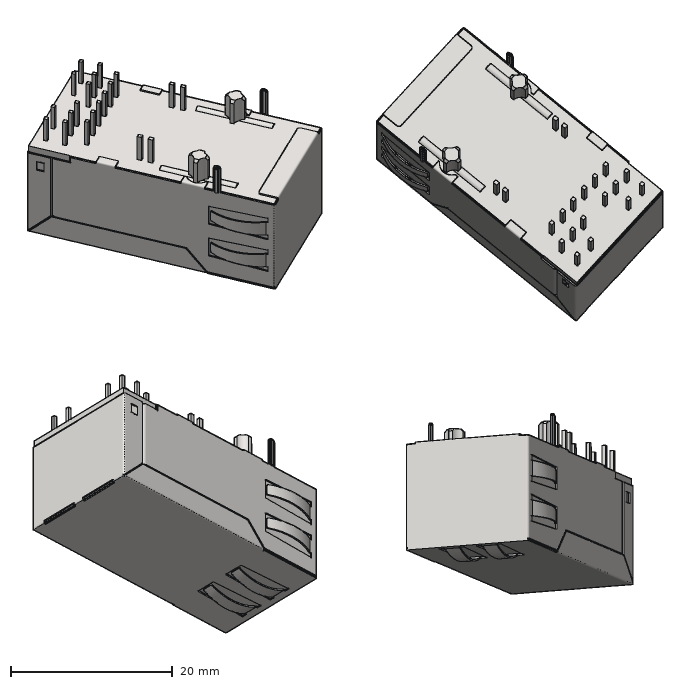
import cadquery as cq
import math


length = 32.8
width = 16.6
sheet = 0.2
bend_radius = 0.3
shield_top = 13.35
rim_chamfer = 0.1
insert_top = shield_top
half_width = width / 2
inner_half = half_width - sheet
fold_top = insert_top + sheet

lip_rear = 0.1
lip_relief = 0.06
lip_bottom = 12.43
lip_end = 5.55
notch_end = 5.75

finger_tip = 24.27
finger_root = 31.6
finger_corner = 0.15
finger_rise = 0.9
finger_tip_width = 1.46
finger_root_width = 2.0
window_start = 24.0
window_end = 31.85
window_start_width = 2.8
window_end_width = 3.36
window_corner = 0.12
finger_pitch = 5.0
side_finger_bottom = 4.3
side_finger_heights = [side_finger_bottom, side_finger_bottom + finger_pitch]
floor_finger_places = [-finger_pitch / 2, finger_pitch / 2]

seam_height = 3.27
seam_left = 3.2
seam_right = 21.05
seam_foot = 23.85
seam_gap = 0.1
miter_gap = 0.14
floor_inset = 0.1
flap_gap = 0.2
panel_edge = 3.33
panel_roll = 0.45

floor_notch_length = 5.4
floor_notch_place = 3.5
floor_notch_height = 0.42

latch_start = 1.25
latch_end = 2.25
latch_ramp_start = 1.5
latch_bottom = 10.05
latch_top = 11.35

fold_radius = 0.24
tab_depth = 1.15
rear_tab = (9.12, 11.67)
front_tab = (20.34, 23.5)
tab_notch_radius = 1.5
flap_start = 30.05
flap_width = 14.0
flap_corner = 0.4

fin_x = 25.1
fin_width = 0.95
fin_tip = 17.28
fin_corner = 0.42
rib_width = 0.6
rib_crest = 0.3
rib_bottom = 13.25
rib_top = 17.08
rib_top_chamfer = 0.15

post_x = 22.03
post_y = 6.35
post_radius = 1.3
post_arm = 0.52
post_waist = 0.82
post_top = 16.83
post_chamfer = 0.35
ridge_start = 16.95
ridge_end = 27.05
ridge_width = 1.0
ridge_height = 0.25

pin_size = 0.47
pin_top = 16.97
short_pin_top = 16.75
row_pitch = 2.52
first_row_x = 1.7
column_pitch = 2.04
led_pin_y = 3.56
pair_pin_width = 0.57
pair_pin_y = 5.6
pair_pin_places = [13.92, 15.39]


def block(x_span, y_span, z_span):
    """Box between two X, two Y and two Z values."""
    size = (x_span[1] - x_span[0], y_span[1] - y_span[0], z_span[1] - z_span[0])
    corner = (x_span[0], y_span[0], z_span[0])
    return cq.Workplane("XY").box(*size, centered=False).translate(corner)


def on_both_sides(shape):
    """The shape and its mirror image across the middle plane."""
    return shape.union(shape.mirror("XZ"))


def finger_window():
    outline = [
        (window_start, -window_start_width / 2),
        (window_end, -window_end_width / 2),
        (window_end, window_end_width / 2),
        (window_start, window_start_width / 2),
    ]
    plate = cq.Workplane("XY").polyline(outline).close().extrude(-sheet)
    return plate.edges("|Z and <X").fillet(window_corner)


def finger():
    middle = (finger_tip + finger_root) / 2
    bow = (
        cq.Workplane("XZ")
        .moveTo(finger_tip, 0)
        .threePointArc((middle, finger_rise), (finger_root, 0))
        .lineTo(window_end, 0)
        .lineTo(window_end, -sheet)
        .lineTo(finger_root, -sheet)
        .threePointArc((middle, finger_rise - sheet), (finger_tip, -sheet))
        .close()
        .extrude(finger_root_width, both=True)
    )
    plan = [
        (finger_tip, -finger_tip_width / 2),
        (window_end, -finger_root_width / 2),
        (window_end, finger_root_width / 2),
        (finger_tip, finger_tip_width / 2),
    ]
    taper = cq.Workplane("XY").polyline(plan).close().extrude(2 * finger_rise, both=True)
    taper = taper.edges("|Z and <X").fillet(finger_corner)
    return bow.intersect(taper)


def on_shield_faces(flat):
    """Copies of a flat feature on both side walls and on the floor."""
    places = []
    for height in side_finger_heights:
        for side in (-1, 1):
            upright = flat.rotate((0, 0, 0), (1, 0, 0), -90 * side)
            places.append(upright.translate((0, side * half_width, height)))
    for across in floor_finger_places:
        places.append(flat.rotate((0, 0, 0), (1, 0, 0), 180).translate((0, across, 0)))
    return places


def shield_box():
    outside = block((0, length), (-half_width, half_width), (0, shield_top))
    outside = outside.edges("|Z or (<Z and <X)").fillet(bend_radius)
    outside = outside.faces(">Z").chamfer(rim_chamfer)
    inside = block((sheet, length - sheet), (-inner_half, inner_half), (sheet, insert_top))
    return outside.cut(inside)


def floor_side_bend():
    """Material outside the rounded lower edge of the -Y wall, rear of the seam foot."""
    corner = block((0, seam_foot), (-half_width, bend_radius - half_width), (0, bend_radius))
    round_edge = (
        cq.Workplane("YZ")
        .center(bend_radius - half_width, bend_radius)
        .circle(bend_radius)
        .extrude(seam_foot)
    )
    return corner.cut(round_edge)


def wall_slot(points):
    """Prism through the -Y wall over a closed outline of (X, Z) points."""
    return cq.Workplane("XZ", origin=(0, -inner_half, 0)).polyline(points).close().extrude(sheet)


def miter_seam(start, end):
    """Straight slot of miter width along a slanting line between two (X, Z) points."""
    run = end[0] - start[0]
    rise = end[1] - start[1]
    half_shift = miter_gap / 2 * math.hypot(run, rise) / abs(rise)
    return wall_slot([
        (start[0] - half_shift, start[1]),
        (start[0] + half_shift, start[1]),
        (end[0] + half_shift, end[1]),
        (end[0] - half_shift, end[1]),
    ])


def wall_seams():
    """All gaps between rear flap, lower flap, side panel and floor at the -Y wall."""
    wall = (-half_width, -inner_half)
    seams = miter_seam((bend_radius, bend_radius), (seam_left, seam_height))
    seams = seams.union(miter_seam((seam_foot, sheet), (seam_right, seam_height)))
    level = (seam_height - seam_gap / 2, seam_height + seam_gap / 2)
    seams = seams.union(block((seam_left, seam_right), wall, level))
    seams = seams.union(block((panel_edge - flap_gap, panel_edge), wall, (seam_height, lip_bottom)))
    floor_joint = block((seam_foot, length), wall, (sheet, sheet + seam_gap))
    floor_edge = block((seam_foot, length), (-half_width, floor_inset - half_width), (0, sheet))
    return seams.union(floor_joint).union(floor_edge)


def panel_edge_roll():
    """Material outside the rounded rear edge of the side panel in the -Y wall."""
    roll_radius = (panel_roll**2 + sheet**2) / (2 * sheet)
    roll_end = panel_edge + panel_roll
    sheet_edge = block((panel_edge, roll_end), (-half_width, -inner_half), (seam_height, lip_bottom))
    round_edge = (
        cq.Workplane("XY", origin=(roll_end, roll_radius - half_width, seam_height))
        .circle(roll_radius)
        .extrude(lip_bottom - seam_height)
    )
    return sheet_edge.cut(round_edge)


def latch_window():
    return block((latch_start, latch_end), (-half_width, -inner_half), (latch_bottom, latch_top))


def floor_notches():
    notches = cq.Workplane("XY")
    for side in (-1, 1):
        middle = side * floor_notch_place
        span = (middle - floor_notch_length / 2, middle + floor_notch_length / 2)
        notches = notches.add(block((0, bend_radius), span, (0, floor_notch_height)))
    return notches.combine()


def folded_tab(x_span):
    """Tab rising from the -Y wall and folded over the insert."""
    tab = block(x_span, (-half_width, tab_depth - half_width), (shield_top - sheet, fold_top))
    tab = tab.edges("|X and <Y and >Z").fillet(fold_radius)
    return tab.cut(block(x_span, (-inner_half, 0), (0, insert_top)))


def front_flap():
    """Flap of the front wall folded over the insert."""
    flap = block((flap_start, length), (-flap_width / 2, flap_width / 2), (shield_top - sheet, fold_top))
    flap = flap.edges("|Z and <X").fillet(flap_corner)
    flap = flap.edges("|Y and >X and >Z").fillet(fold_radius)
    return flap.cut(block((0, length - sheet), (-half_width, half_width), (0, insert_top)))


def rib_prism(base_y, bottom):
    """Upright ridge of trapezoid section, standing out toward -Y from a base plane."""
    section = [
        (fin_x - rib_width / 2, base_y),
        (fin_x - rib_crest / 2, base_y - sheet),
        (fin_x + rib_crest / 2, base_y - sheet),
        (fin_x + rib_width / 2, base_y),
    ]
    prism = cq.Workplane("XY", origin=(0, 0, bottom)).polyline(section).close().extrude(rib_top - bottom)
    return prism.edges(">Z and <Y").chamfer(rib_top_chamfer)


def ground_fin():
    """Round-tipped fin above the -Y wall, stiffened by a rib pressed out of the sheet."""
    half_fin = fin_width / 2
    fin_bottom = shield_top - sheet
    fin = block((fin_x - half_fin, fin_x + half_fin), (-half_width, -inner_half), (fin_bottom, fin_tip))
    fin = fin.edges("|Y and >Z").fillet(fin_corner)
    fin = fin.union(rib_prism(-half_width, rib_bottom))
    return fin.cut(rib_prism(-inner_half, insert_top))


def make_shield():
    shield = shield_box()
    wall_cuts = [floor_side_bend(), wall_seams(), panel_edge_roll(), latch_window()]
    for cutter in wall_cuts:
        shield = shield.cut(on_both_sides(cutter))
    shield = shield.cut(block((0, notch_end), (-half_width, half_width), (lip_bottom, shield_top)))
    shield = shield.cut(floor_notches())
    for window in on_shield_faces(finger_window()):
        shield = shield.cut(window)
    for spring in on_shield_faces(finger()):
        shield = shield.union(spring)
    post_clearance = (
        cq.Workplane("XY", origin=(post_x, -post_y, insert_top)).circle(tab_notch_radius).extrude(sheet)
    )
    wall_parts = [folded_tab(rear_tab), folded_tab(front_tab).cut(post_clearance), ground_fin()]
    for part in wall_parts:
        shield = shield.union(on_both_sides(part))
    return shield.union(front_flap())


def insert_block():
    core = block((sheet, length - sheet), (-inner_half, inner_half), (sheet, insert_top))
    core = core.union(block((lip_rear, lip_end), (-inner_half, inner_half), (lip_bottom, insert_top)))
    relief = block((lip_rear, lip_end), (-inner_half, lip_relief - inner_half), (lip_bottom, insert_top))
    return core.cut(on_both_sides(relief))


def latch():
    """Ramp on the -Y side that snaps into the latch window."""
    ramp = [
        (latch_ramp_start, -inner_half),
        (latch_end, -half_width),
        (latch_end, -inner_half),
    ]
    height = latch_top - latch_bottom
    return cq.Workplane("XY", origin=(0, 0, latch_bottom)).polyline(ramp).close().extrude(height)


def ridge():
    """Low round-topped ridge on the -Y side of the insert top."""
    half = ridge_width / 2
    return (
        cq.Workplane("YZ", origin=(ridge_start, -post_y, insert_top))
        .moveTo(-half, 0)
        .threePointArc((0, ridge_height), (half, 0))
        .close()
        .extrude(ridge_end - ridge_start)
    )


def post():
    """Board post of four arms with hollow flanks, chamfered at its tip."""
    height = post_top - insert_top
    half_arm = post_arm / 2
    hollow = post_waist * math.sqrt(0.5)
    outline = cq.Workplane("XY").moveTo(post_radius, -half_arm)
    for along, across in [((1, 0), (0, 1)), ((0, 1), (-1, 0)), ((-1, 0), (0, -1)), ((0, -1), (1, 0))]:
        arm_end = (
            post_radius * along[0] + half_arm * across[0],
            post_radius * along[1] + half_arm * across[1],
        )
        waist = (hollow * (along[0] + across[0]), hollow * (along[1] + across[1]))
        next_arm = (
            post_radius * across[0] + half_arm * along[0],
            post_radius * across[1] + half_arm * along[1],
        )
        outline = outline.lineTo(*arm_end).threePointArc(waist, next_arm)
    arms = outline.close().extrude(height)
    envelope = cq.Workplane("XY").circle(post_radius).extrude(height).faces(">Z").chamfer(post_chamfer)
    return arms.intersect(envelope).translate((post_x, -post_y, insert_top))


def pin(x, y, top, x_size=pin_size):
    return block(
        (x - x_size / 2, x + x_size / 2), (y - pin_size / 2, y + pin_size / 2), (insert_top - sheet, top)
    )


def pins_on_one_side():
    """Pins on the -Y half of the insert."""
    pins = [pin(first_row_x, -y, short_pin_top) for y in (led_pin_y, 3 * column_pitch)]
    for column in (1, 2, 3):
        pins.append(pin(first_row_x + row_pitch, -column * column_pitch, pin_top))
        pins.append(pin(first_row_x + 2 * row_pitch, -(column - 0.5) * column_pitch, pin_top))
    for x in pair_pin_places:
        pins.append(pin(x, -pair_pin_y, pin_top, pair_pin_width))
    return pins


def make_insert():
    insert = insert_block()
    for part in [latch(), ridge(), post(), *pins_on_one_side()]:
        insert = insert.union(on_both_sides(part))
    return insert


shield = make_shield()
insert = make_insert()

result = cq.Compound.makeCompound([shield.solids().val(), insert.solids().val()])